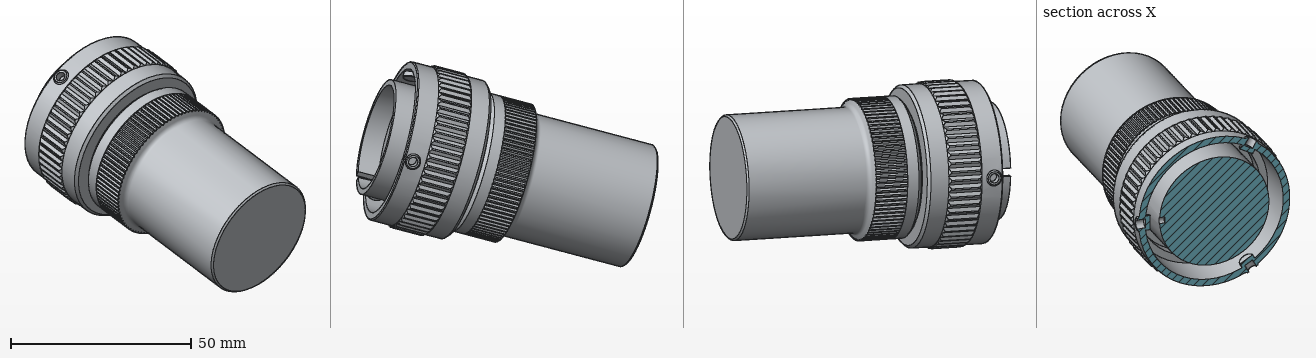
import cadquery as cq
import math

TOTAL_LENGTH = 76.9
OUTER_DIAMETER = 46.46

PLUG_RADIUS = 16.45
PLUG_BORE_RADIUS = 14.85
PLUG_BORE_DEPTH = 6.0
KEYWAY_WIDTH = 2.3

RING_START = 4.2
RING_END = 26.0
RING_RADIUS = 22.7
RING_FRONT_CHAMFER = 0.3
RING_REAR_CHAMFER = 0.8
RING_BORE_RADIUS = 20.6
RING_BORE_END = 18.0
RING_STEP_RADIUS = 18.4
RING_STEP_END = 22.0

KNURL_ROOT = 0.5

RING_KNURL_START = 10.3
RING_KNURL_END = 20.0
RING_KNURL_COUNT = 60
RING_KNURL_RADIUS = OUTER_DIAMETER / 2
RING_KNURL_DEPTH = 0.6
RING_KNURL_BEVEL_LENGTH = 0.65
RING_KNURL_TOP_SHARE = 0.17

NECK_STEP_RADIUS = 17.4
NECK_RADIUS = 16.8
NECK_STEP_END = 26.1

NUT_START = 26.8
NUT_RADIUS = 19.8
NUT_CHAMFER = 0.95
NUT_KNURL_START = 31.0
NUT_KNURL_END = 40.15
NUT_KNURL_COUNT = 90
NUT_KNURL_DEPTH = 0.43
NUT_KNURL_TOP_SHARE = 0.3
NUT_KNURL_PHASE = 1.0

TAPER_ANGLE = 65.0
TUBE_RADIUS = 17.5
TUBE_CHAMFER = 0.5
SHOULDER_FILLET_TANGENT = 0.95

PIN_X = 6.8
PIN_ANGLES = (0, 120, 240)
PIN_RADIUS = 2.25
PIN_INNER_REACH = 19.1
PIN_OUTER_REACH = 23.0
PIN_HEAD_CHAMFER = 0.4
PIN_TIP_CHAMFER = 0.2
PIN_HOLE_RADIUS = 1.3
PIN_HOLE_DEPTH = 2.4


def turned(profile):
    """Revolve a closed profile, drawn as (x, radius), about the X axis."""
    return profile.close().revolve(360, (0, 0, 0), (1, 0, 0))


def cylinder(start, end, radius):
    """Solid cylinder on the X axis."""
    return cq.Workplane("YZ").workplane(offset=start).circle(radius).extrude(end - start)


def turned_body():
    """Turned outline with the annular space around the plug and both knurl bands at groove depth."""
    ring_groove_radius = RING_KNURL_RADIUS - RING_KNURL_DEPTH
    nut_groove_radius = NUT_RADIUS - NUT_KNURL_DEPTH

    taper = math.radians(TAPER_ANGLE)
    taper_foot = NUT_KNURL_END + (NUT_RADIUS - TUBE_RADIUS) / math.tan(taper)
    fillet_start = (
        taper_foot - SHOULDER_FILLET_TANGENT * math.cos(taper),
        TUBE_RADIUS + SHOULDER_FILLET_TANGENT * math.sin(taper),
    )
    fillet_end = (taper_foot + SHOULDER_FILLET_TANGENT, TUBE_RADIUS)

    profile = (
        cq.Workplane("XY")
        .moveTo(0, 0)
        .lineTo(0, PLUG_RADIUS)
        .lineTo(RING_STEP_END, PLUG_RADIUS)
        .lineTo(RING_STEP_END, RING_STEP_RADIUS)
        .lineTo(RING_BORE_END, RING_STEP_RADIUS)
        .lineTo(RING_BORE_END, RING_BORE_RADIUS)
        .lineTo(RING_START, RING_BORE_RADIUS)
        .lineTo(RING_START, RING_RADIUS - RING_FRONT_CHAMFER)
        .lineTo(RING_START + RING_FRONT_CHAMFER, RING_RADIUS)
        .lineTo(RING_KNURL_START, RING_RADIUS)
        .lineTo(RING_KNURL_START, ring_groove_radius)
        .lineTo(RING_KNURL_END, ring_groove_radius)
        .lineTo(RING_KNURL_END, RING_RADIUS)
        .lineTo(RING_END - RING_REAR_CHAMFER, RING_RADIUS)
        .lineTo(RING_END, RING_RADIUS - RING_REAR_CHAMFER)
        .lineTo(RING_END, NECK_STEP_RADIUS)
        .lineTo(NECK_STEP_END, NECK_STEP_RADIUS)
        .lineTo(NUT_START, NECK_RADIUS)
        .lineTo(NUT_START, NUT_RADIUS - NUT_CHAMFER)
        .lineTo(NUT_START + NUT_CHAMFER, NUT_RADIUS)
        .lineTo(NUT_KNURL_START, NUT_RADIUS)
        .lineTo(NUT_KNURL_START, nut_groove_radius)
        .lineTo(NUT_KNURL_END, nut_groove_radius)
        .lineTo(NUT_KNURL_END, NUT_RADIUS)
        .lineTo(*fillet_start)
        .tangentArcPoint(fillet_end, relative=False)
        .lineTo(TOTAL_LENGTH - TUBE_CHAMFER, TUBE_RADIUS)
        .lineTo(TOTAL_LENGTH, TUBE_RADIUS - TUBE_CHAMFER)
        .lineTo(TOTAL_LENGTH, 0)
    )
    return turned(profile)


def knurl(start, end, radius, depth, count, top_share, phase=0.0):
    """Ring of straight ridges with narrow flat tops and V grooves between them."""
    pitch = 2 * math.pi / count
    half_top = top_share * pitch / 2
    groove_radius = radius - depth
    points = []
    for i in range(count):
        centre = math.radians(phase) + i * pitch
        for offset, r in ((-half_top, radius), (half_top, radius), (pitch / 2, groove_radius)):
            points.append((r * math.cos(centre + offset), r * math.sin(centre + offset)))
    ridges = cq.Workplane("YZ").workplane(offset=start).polyline(points).close().extrude(end - start)
    return ridges.cut(cylinder(start, end, groove_radius - KNURL_ROOT))


def ring_knurl():
    """Coupling ring knurl, its ridge ends bevelled down to the ring surface."""
    band = knurl(
        RING_KNURL_START, RING_KNURL_END, RING_KNURL_RADIUS,
        RING_KNURL_DEPTH, RING_KNURL_COUNT, RING_KNURL_TOP_SHARE,
    )
    envelope = turned(
        cq.Workplane("XY")
        .moveTo(RING_KNURL_START, 0)
        .lineTo(RING_KNURL_START, RING_RADIUS)
        .lineTo(RING_KNURL_START + RING_KNURL_BEVEL_LENGTH, RING_KNURL_RADIUS)
        .lineTo(RING_KNURL_END - RING_KNURL_BEVEL_LENGTH, RING_KNURL_RADIUS)
        .lineTo(RING_KNURL_END, RING_RADIUS)
        .lineTo(RING_KNURL_END, 0)
    )
    return band.intersect(envelope)


def nut_knurl():
    """Clamp nut knurl, flush with the nut surface."""
    return knurl(
        NUT_KNURL_START, NUT_KNURL_END, NUT_RADIUS,
        NUT_KNURL_DEPTH, NUT_KNURL_COUNT, NUT_KNURL_TOP_SHARE, NUT_KNURL_PHASE,
    )


def keyway():
    """Slot through the +Y wall of the plug insert, open at the front, rounded beyond the floor."""
    half_width = KEYWAY_WIDTH / 2
    slot = (
        cq.Workplane("XZ")
        .moveTo(0, -half_width)
        .lineTo(PLUG_BORE_DEPTH, -half_width)
        .threePointArc((PLUG_BORE_DEPTH + half_width, 0), (PLUG_BORE_DEPTH, half_width))
        .lineTo(0, half_width)
        .close()
        .extrude(-PLUG_RADIUS)
    )
    plug_core = cylinder(0, PLUG_BORE_DEPTH + KEYWAY_WIDTH, PLUG_BORE_RADIUS)
    return slot.cut(plug_core)


def pin_stud():
    """Bayonet pin at +Y with a bevelled head and tip."""
    return (
        cq.Workplane("XZ", origin=(PIN_X, PIN_INNER_REACH, 0))
        .circle(PIN_RADIUS)
        .extrude(PIN_INNER_REACH - PIN_OUTER_REACH)
        .faces(">Y")
        .chamfer(PIN_HEAD_CHAMFER)
        .faces("<Y")
        .chamfer(PIN_TIP_CHAMFER)
    )


def pin_hole():
    """Blind hole in the middle of the pin head at +Y."""
    return (
        cq.Workplane("XZ", origin=(PIN_X, PIN_OUTER_REACH, 0))
        .circle(PIN_HOLE_RADIUS)
        .extrude(PIN_HOLE_DEPTH)
    )


body = turned_body()
for pin_angle in PIN_ANGLES:
    body = body.union(pin_stud().rotate((0, 0, 0), (1, 0, 0), pin_angle))
    body = body.cut(pin_hole().rotate((0, 0, 0), (1, 0, 0), pin_angle))
body = body.union(nut_knurl()).union(ring_knurl())
body = body.cut(cylinder(0, PLUG_BORE_DEPTH, PLUG_BORE_RADIUS)).cut(keyway())

result = body